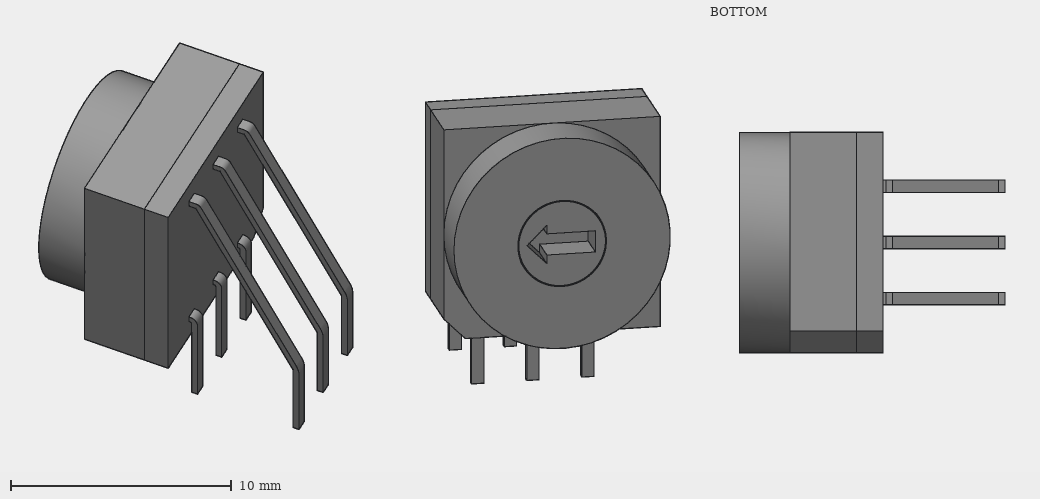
import cadquery as cq
import math


width = 10.0
bottom_z = 3.6
center_z = bottom_z + width / 2
base_depth = 1.2
housing_depth = 3.0
collar_depth = 2.3
corner_chamfer = 0.99
housing_front_x = -base_depth - housing_depth
collar_front_x = housing_front_x - collar_depth

rotor_bore_diameter = 4.1
rotor_diameter = 4.0
arrow_tip_y = 1.62
arrow_barb_y = 0.71
arrow_tail_y = -1.54
arrow_half_shaft = 0.5
arrow_half_head = arrow_tip_y - arrow_barb_y
arrow_depth = 1.63

pin_pitch = 2.55
pin_width = 0.57
pin_thickness = 0.3
pin_rows = (-1, 0, 1)
long_pin_slope = math.radians(60)
long_pin_root_z = 12.27
long_pin_upper_bend_x = 0.35
long_pin_lower_radius = 0.99
long_pin_tail_x = 5.52 - pin_thickness
short_pin_root_z = 4.62
short_pin_tail_x = 0.14
short_pin_inner_radius = 0.08


def make_slab(rear_x, depth):
    """Square block extending towards -X, with one bottom corner cut off along X."""
    slab = cq.Workplane("XY").box(depth, width, width).edges("|X and >Y and <Z").chamfer(corner_chamfer)
    return slab.translate((rear_x - depth / 2, 0, center_z))


def make_disc(diameter):
    """Disc as deep as the collar, in front of the housing."""
    workplane = cq.Workplane("YZ", origin=(collar_front_x, 0, center_z))
    return workplane.circle(diameter / 2).extrude(collar_depth)


def make_collar():
    """Round collar with a through bore for the rotor."""
    return make_disc(width).cut(make_disc(rotor_bore_diameter))


def make_rotor():
    """Rotor with a deep arrow-shaped screwdriver slot in its front face."""
    slot = (
        cq.Workplane("YZ", origin=(collar_front_x, 0, center_z))
        .moveTo(arrow_tip_y, 0)
        .lineTo(arrow_barb_y, arrow_half_head)
        .lineTo(arrow_barb_y, arrow_half_shaft)
        .lineTo(arrow_tail_y, arrow_half_shaft)
        .lineTo(arrow_tail_y, -arrow_half_shaft)
        .lineTo(arrow_barb_y, -arrow_half_shaft)
        .lineTo(arrow_barb_y, -arrow_half_head)
        .close()
        .extrude(arrow_depth)
    )
    return make_disc(rotor_diameter).cut(slot)


def point_on_arc(center, radius, angle):
    """Point at an angle above +X on a circle in the XZ plane."""
    return (center[0] + radius * math.cos(angle), center[1] + radius * math.sin(angle))


def extrude_pin(profile, row):
    """Give a pin profile its width, centred on its row."""
    return profile.extrude(pin_width / 2, both=True).translate((0, row * pin_pitch, 0))


def make_long_pin(row):
    """Pin leaving the base high up, sloping outwards and ending vertically."""
    drop = (long_pin_tail_x - long_pin_upper_bend_x) * math.tan(long_pin_slope)
    upper_bend = (long_pin_upper_bend_x, long_pin_root_z)
    lower_bend = (long_pin_tail_x, long_pin_root_z - drop)
    slope_normal = math.pi / 2 - long_pin_slope
    lower_radius = long_pin_lower_radius
    inset = pin_thickness - lower_radius
    lower_center = (lower_bend[0] + inset, lower_bend[1] + inset * math.tan(slope_normal / 2))
    upper_mid = (math.pi / 2 + slope_normal) / 2
    profile = (
        cq.Workplane("XZ")
        .moveTo(0, long_pin_root_z)
        .lineTo(0, long_pin_root_z + pin_thickness)
        .lineTo(long_pin_upper_bend_x, long_pin_root_z + pin_thickness)
        .threePointArc(
            point_on_arc(upper_bend, pin_thickness, upper_mid),
            point_on_arc(upper_bend, pin_thickness, slope_normal),
        )
        .lineTo(*point_on_arc(lower_center, lower_radius, slope_normal))
        .threePointArc(
            point_on_arc(lower_center, lower_radius, slope_normal / 2),
            point_on_arc(lower_center, lower_radius, 0),
        )
        .lineTo(long_pin_tail_x + pin_thickness, 0)
        .lineTo(long_pin_tail_x, 0)
        .lineTo(*lower_bend)
        .lineTo(*upper_bend)
        .close()
    )
    return extrude_pin(profile, row)


def make_short_pin(row):
    """Pin leaving the base low down and bent straight down."""
    inner_radius = short_pin_inner_radius
    outer_radius = inner_radius + pin_thickness
    bend = (short_pin_tail_x - inner_radius, short_pin_root_z - inner_radius)
    bend_mid = math.pi / 4
    profile = (
        cq.Workplane("XZ")
        .moveTo(0, short_pin_root_z)
        .lineTo(0, short_pin_root_z + pin_thickness)
        .lineTo(bend[0], short_pin_root_z + pin_thickness)
        .threePointArc(
            point_on_arc(bend, outer_radius, bend_mid),
            point_on_arc(bend, outer_radius, 0),
        )
        .lineTo(short_pin_tail_x + pin_thickness, 0)
        .lineTo(short_pin_tail_x, 0)
        .lineTo(*point_on_arc(bend, inner_radius, 0))
        .threePointArc(
            point_on_arc(bend, inner_radius, bend_mid),
            point_on_arc(bend, inner_radius, math.pi / 2),
        )
        .close()
    )
    return extrude_pin(profile, row)


base = make_slab(0, base_depth)
housing = make_slab(-base_depth, housing_depth)
collar = make_collar()
rotor = make_rotor()
long_pins = [make_long_pin(row).val() for row in pin_rows]
short_pins = [make_short_pin(row).val() for row in pin_rows]

result = cq.Compound.makeCompound(
    [base.val(), housing.val(), collar.val(), rotor.val(), *long_pins, *short_pins]
)